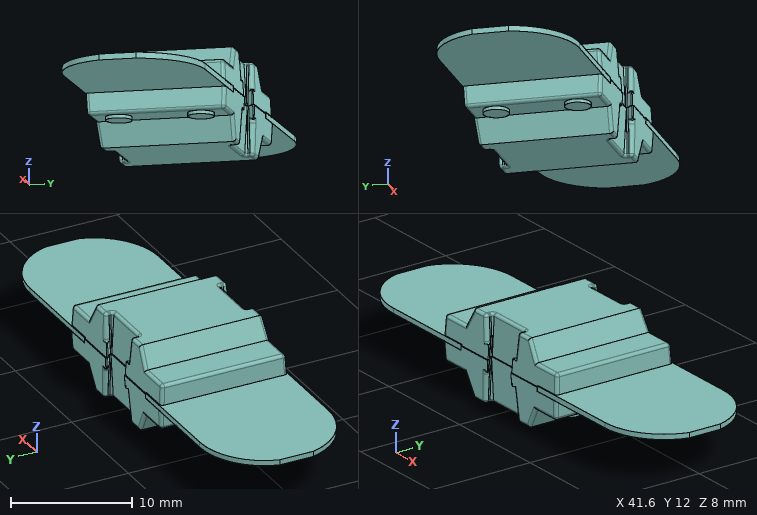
import cadquery as cq
length = 41.6
width = 12.0
height = 8.0

strap_thickness = 0.5
strap_top_z = 0.35
strap_round_radius = width / 2
strap_round_center_x = 15.0
strap_inner_end_x = 5.4

body_length = 16.0
upper_side_inset = 0.1
parting_z = 0.2
upper_shoulder_z = 2.15
lower_shoulder_z = -2.0
slope_foot_x = 5.0
slope_top_x = 3.9
draft_angle = 3.0
edge_radius = 0.3

notch_mouth_width = 3.33
notch_floor_width = 4.25
notch_depth = 0.75
notch_lip_depth = 0.15

foot_diameter = 2.2
foot_height = 0.3
foot_x = 6.5
foot_y = 3.5


def make_strap_end(side):
    """One strap end; side is +1 or -1 along X."""
    strip_length = strap_round_center_x - strap_inner_end_x
    strip_x = side * (strap_round_center_x + strap_inner_end_x) / 2
    plane = cq.Workplane("XY", origin=(0, 0, strap_top_z - strap_thickness))
    strip = plane.center(strip_x, 0).rect(strip_length, width).extrude(strap_thickness)
    disc = plane.center(side * strap_round_center_x, 0).circle(strap_round_radius).extrude(strap_thickness)
    limit = plane.rect(length, width).extrude(strap_thickness)
    return strip.union(disc).intersect(limit)


def make_notched_block(block_height, block_width):
    """Drafted block standing on z = 0, with an undercut notch in each long side."""
    half_length = body_length / 2
    half_width = block_width / 2
    half_mouth = notch_mouth_width / 2
    half_floor = notch_floor_width / 2
    floor_y = half_width - notch_depth
    lip_y = half_width - notch_lip_depth
    undercut_y = lip_y - (half_floor - half_mouth)
    right_side = [
        (half_floor, -floor_y),
        (half_floor, -undercut_y),
        (half_mouth, -lip_y),
        (half_mouth, -half_width),
        (half_length, -half_width),
    ]
    left_side = [(-x, y) for x, y in reversed(right_side)]
    near_side = left_side + right_side
    far_side = [(-x, -y) for x, y in near_side]
    outline = cq.Workplane("XY").polyline(near_side + far_side).close()
    return outline.extrude(block_height, taper=draft_angle)


def make_stepped_profile(block_height, shoulder_height):
    """Prism along Y: low shoulders, sloped flanks and a raised middle."""
    half_length = body_length / 2
    right_side = [
        (half_length, 0),
        (half_length, shoulder_height),
        (slope_foot_x, shoulder_height),
        (slope_top_x, block_height),
    ]
    left_side = [(-x, z) for x, z in reversed(right_side)]
    return cq.Workplane("XZ").polyline(right_side + left_side).close().extrude(width / 2, both=True)


def round_edges(half):
    """Round the upright end corners and the whole rim of the stepped surface."""

    def is_rounded(edge):
        box = edge.BoundingBox()
        at_end = abs(box.center.x) > slope_foot_x
        on_parting_plane = box.zmax < edge_radius
        is_upright = box.zmin < edge_radius
        is_slope_crease = box.ylen > width / 2 and not at_end
        is_notch_corner = is_upright and not at_end
        return not (on_parting_plane or is_slope_crease or is_notch_corner)

    return half.newObject([e for e in half.edges().vals() if is_rounded(e)]).fillet(edge_radius)


def make_half_body(block_height, shoulder_height, block_width):
    """One half, standing on z = 0."""
    block = make_notched_block(block_height, block_width)
    return round_edges(block.intersect(make_stepped_profile(block_height, shoulder_height)))


def make_feet():
    """Four short round feet under the lower shoulders."""
    foot_centers = [(x, y) for x in (-foot_x, foot_x) for y in (-foot_y, foot_y)]
    plane = cq.Workplane("XY", origin=(0, 0, lower_shoulder_z))
    return plane.pushPoints(foot_centers).circle(foot_diameter / 2).extrude(-foot_height)


upper_half = make_half_body(
    height / 2 - parting_z, upper_shoulder_z - parting_z, width - 2 * upper_side_inset
)
lower_half = make_half_body(height / 2 + parting_z, parting_z - lower_shoulder_z, width).mirror("XY")
result = upper_half.union(lower_half).translate((0, 0, parting_z))
result = result.union(make_feet())
for side in (-1, 1):
    result = result.union(make_strap_end(side))